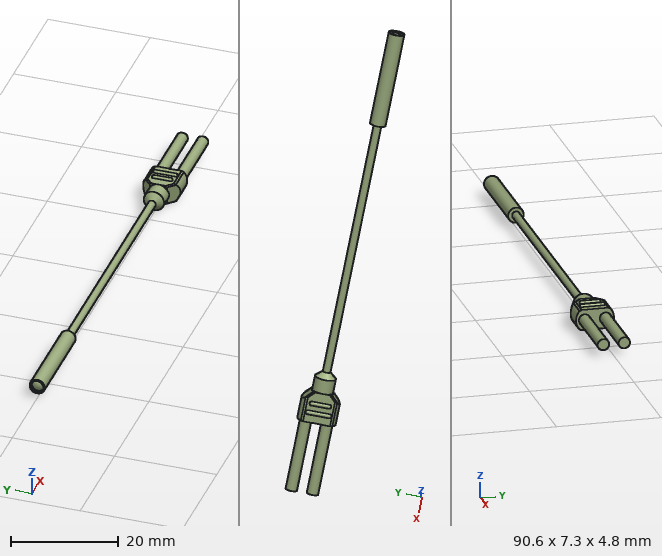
import cadquery as cq

total_length = 90.6
leg_length = 14.0
body_end_x = total_length - leg_length
body_length = 5.9
body_start_x = body_end_x - body_length
neck_start_x = 66.9
lead_in_length = 1.1

sleeve_diameter = 3.0
sleeve_length = 18.0
dome_diameter = 2.4
dome_height = 0.5

cable_diameter = 1.5

neck_diameter = 4.0
body_width = 7.3
body_thickness = neck_diameter
body_flat_width = 5.6
shoulder_chamfer = 1.9
flat_edge_chamfer = 0.25

leg_diameter = 2.2
leg_spacing = 4.0

overall_thickness = 4.8
rib_radius = (overall_thickness - body_thickness) / 2
rib_lengths = (4.1, 4.9)
rib_pitch = 1.8
first_rib_offset = 2.2


def rod(start_x, length, diameter, y=0):
    """Round bar parallel to X."""
    return cq.Workplane("YZ", origin=(start_x, y, 0)).circle(diameter / 2).extrude(length)


def dome_radius():
    """Radius of the sphere whose cap forms the dome."""
    half_chord = dome_diameter / 2
    return (half_chord**2 + dome_height**2) / (2 * dome_height)


def make_sleeve():
    """Tip sleeve whose outer end is recessed around a convex dome, flush with the rim."""
    recess = rod(0, dome_height, dome_diameter)
    dome = (
        cq.Workplane("XY")
        .moveTo(0, 0)
        .radiusArc((dome_height, dome_diameter / 2), dome_radius())
        .lineTo(dome_height, 0)
        .close()
        .revolve(360, (0, 0, 0), (1, 0, 0))
    )
    return rod(0, sleeve_length, sleeve_diameter).cut(recess).union(dome)


def make_neck():
    """Round neck with a conical lead-in around the cable."""
    cone_end_x = neck_start_x + lead_in_length
    return (
        cq.Workplane("XY")
        .moveTo(neck_start_x, 0)
        .lineTo(neck_start_x, cable_diameter / 2)
        .lineTo(cone_end_x, neck_diameter / 2)
        .lineTo(body_end_x, neck_diameter / 2)
        .lineTo(body_end_x, 0)
        .close()
        .revolve(360, (0, 0, 0), (1, 0, 0))
    )


def make_body():
    """Flat body with bowed sides, chamfered shoulders and lightly chamfered flats."""
    half_flat = body_flat_width / 2
    half_width = body_width / 2
    half_thickness = body_thickness / 2
    body = (
        cq.Workplane("YZ", origin=(body_start_x, 0, 0))
        .moveTo(-half_flat, half_thickness)
        .lineTo(half_flat, half_thickness)
        .threePointArc((half_width, 0), (half_flat, -half_thickness))
        .lineTo(-half_flat, -half_thickness)
        .threePointArc((-half_width, 0), (-half_flat, half_thickness))
        .close()
        .extrude(body_length)
    )
    plan = (
        cq.Workplane("XY")
        .box(body_length, body_width, body_thickness)
        .edges("<X and |Z")
        .chamfer(shoulder_chamfer)
        .translate((body_start_x + body_length / 2, 0, 0))
    )
    flats = body.intersect(plan).faces(">Z or <Z")
    return flats.edges("not |Y").chamfer(flat_edge_chamfer)


def make_rib(x, length, side):
    """Crosswise capsule-shaped grip rib, half sunk into the flat facing side * Z."""
    straight_half = length / 2 - rib_radius
    return (
        cq.Workplane("XY", origin=(x, 0, side * body_thickness / 2))
        .moveTo(0, -length / 2)
        .radiusArc((rib_radius, -straight_half), -rib_radius)
        .lineTo(rib_radius, straight_half)
        .radiusArc((0, length / 2), -rib_radius)
        .close()
        .revolve(360, (0, 0, 0), (0, 1, 0))
    )


cable = rod(sleeve_length, neck_start_x - sleeve_length, cable_diameter)
result = make_sleeve().union(cable).union(make_neck()).union(make_body())
for side in (-1, 1):
    result = result.union(rod(body_end_x, leg_length, leg_diameter, side * leg_spacing / 2))
    for index, length in enumerate(rib_lengths):
        rib_x = body_start_x + first_rib_offset + index * rib_pitch
        result = result.union(make_rib(rib_x, length, side))